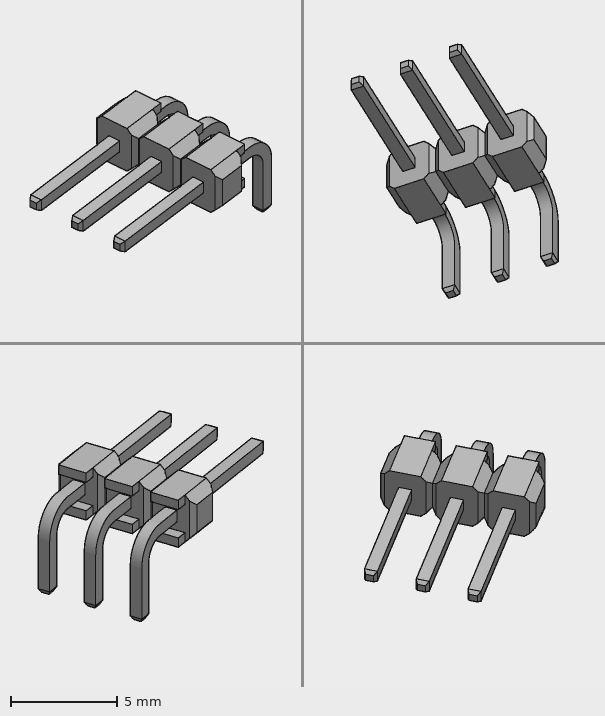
import cadquery as cq
import math


OVERALL_LENGTH = 11.22
OVERALL_HEIGHT = 5.54
UNIT_COUNT = 3
PITCH = 7.62 / UNIT_COUNT

CELL_SIZE = PITCH
BEVEL = 0.5
CORNER_RUN = 0.25
TAB_DEPTH = 0.61
TAB_HEIGHT = BEVEL
TAB_WIDTH = CELL_SIZE - 2 * BEVEL
BLOCK_DEPTH = CELL_SIZE - TAB_DEPTH

PIN_SIZE = 0.64
FRONT_REACH = 6.1
INNER_BEND_RADIUS = 1.0
TIP_LENGTH = 0.22
TIP_INSET = 0.12

half_cell = CELL_SIZE / 2
half_pin = PIN_SIZE / 2
outer_bend_radius = INNER_BEND_RADIUS + PIN_SIZE
leg_back_y = OVERALL_LENGTH - FRONT_REACH
leg_center_y = leg_back_y - half_pin
leg_tip_z = half_cell - OVERALL_HEIGHT


def make_block():
    """Octagonal block with its four upright corners chamfered."""
    octagon = (
        cq.Workplane("XZ")
        .rect(CELL_SIZE, CELL_SIZE)
        .extrude(-BLOCK_DEPTH)
        .edges("|Y")
        .chamfer(BEVEL)
    )
    corner_limits = (
        cq.Workplane("XY")
        .workplane(offset=-half_cell)
        .center(0, BLOCK_DEPTH / 2)
        .rect(CELL_SIZE, BLOCK_DEPTH)
        .extrude(CELL_SIZE)
        .edges("|Z")
        .chamfer(CORNER_RUN)
    )
    return octagon.intersect(corner_limits)


def make_tabs():
    """Two flat tabs behind the block, flush with its top and bottom."""
    tab_offset = half_cell - TAB_HEIGHT / 2
    return (
        cq.Workplane("XZ", origin=(0, BLOCK_DEPTH, 0))
        .pushPoints([(0, tab_offset), (0, -tab_offset)])
        .rect(TAB_WIDTH, TAB_HEIGHT)
        .extrude(-TAB_DEPTH)
    )


def make_tip(plane):
    """Tapered square tip growing from the plane origin along the plane normal."""
    tip_size = PIN_SIZE - 2 * TIP_INSET
    return (
        cq.Workplane(plane)
        .rect(PIN_SIZE, PIN_SIZE)
        .workplane(offset=TIP_LENGTH)
        .rect(tip_size, tip_size)
        .loft(ruled=True)
    )


def make_pin():
    """Square pin running back along Y, then bent down, with a tapered tip at each end."""
    front_y = TIP_LENGTH - FRONT_REACH
    leg_end_z = leg_tip_z + TIP_LENGTH
    bend_y = leg_back_y - outer_bend_radius
    bend_z = half_pin - outer_bend_radius
    diagonal = math.sqrt(0.5)

    def bend_midpoint(radius):
        return (bend_y + radius * diagonal, bend_z + radius * diagonal)

    shank = (
        cq.Workplane("YZ")
        .moveTo(front_y, half_pin)
        .lineTo(bend_y, half_pin)
        .threePointArc(bend_midpoint(outer_bend_radius), (leg_back_y, bend_z))
        .lineTo(leg_back_y, leg_end_z)
        .lineTo(leg_back_y - PIN_SIZE, leg_end_z)
        .lineTo(leg_back_y - PIN_SIZE, bend_z)
        .threePointArc(bend_midpoint(INNER_BEND_RADIUS), (bend_y, -half_pin))
        .lineTo(front_y, -half_pin)
        .close()
        .extrude(half_pin, both=True)
    )
    front_plane = cq.Plane(origin=(0, front_y, 0), xDir=(1, 0, 0), normal=(0, -1, 0))
    leg_plane = cq.Plane(origin=(0, leg_center_y, leg_end_z), xDir=(1, 0, 0), normal=(0, 0, -1))
    return shank.union(make_tip(front_plane)).union(make_tip(leg_plane))


def make_header_unit():
    """One housing cell and its pin in a single solid."""
    return make_block().union(make_tabs()).union(make_pin())


header_units = []
for index in range(UNIT_COUNT):
    unit_x = (index - (UNIT_COUNT - 1) / 2) * PITCH
    header_units.append(make_header_unit().translate((unit_x, 0, 0)))

result = cq.Compound.makeCompound([unit.solids().val() for unit in header_units])